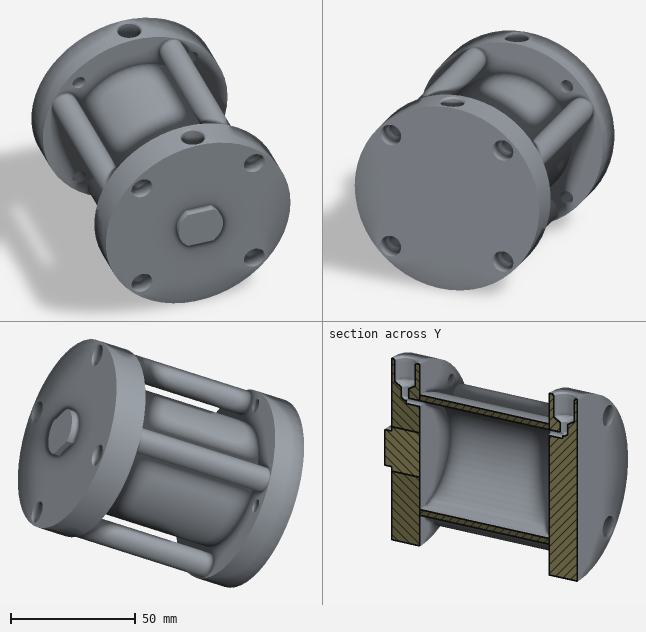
import cadquery as cq
import math

overall_length = 90.7
stub_length = 3.3
plate_thickness = 13.5
plate_radius = 39.6

cap_face = -overall_length / 2
head_face = overall_length / 2 - stub_length
barrel_start = cap_face + plate_thickness
barrel_end = head_face - plate_thickness
barrel_length = barrel_end - barrel_start

barrel_radius = 26.3
bore_radius = 23.6

rod_radius = 9.5
rod_across_flats = 15.7

bolt_circle_radius = 34.1
tie_rod_count = 4
tie_rod_radius = 5.1
tie_rod_start_angle = math.degrees(math.atan2(2, 1))
mount_hole_count = 4
mount_hole_start_angle = 45.0
mount_hole_radius = 2.7
counterbore_radius = 4.4
counterbore_depth = 5.0

port_position = 6.35
port_radius = 4.7
port_mouth_radius = 5.5
port_depth = 10.0
pilot_radius = 1.6
pilot_depth = 16.3
drill_tip_angle = 118.0
passage_radius = 1.2
passage_offset = 0.7


def circle_points(count, start_angle):
    """Y, Z positions spread evenly round the bolt circle, the angle in degrees from +Y toward +Z."""
    angles = [math.radians(start_angle + i * 360 / count) for i in range(count)]
    return [(bolt_circle_radius * math.cos(a), bolt_circle_radius * math.sin(a)) for a in angles]


def along_x(start):
    """Sketch plane across the axis at X = start, extruding toward +X."""
    return cq.Workplane("YZ", origin=(start, 0, 0))


def port_cutter():
    """Chamfered port, its pilot hole and both drill points, turned about the Z axis."""
    tip_slope = 1 / math.tan(math.radians(drill_tip_angle / 2))
    chamfer_depth = port_mouth_radius - port_radius
    port_floor = plate_radius - port_depth
    pilot_floor = plate_radius - pilot_depth
    return (
        cq.Workplane("XZ")
        .moveTo(0, plate_radius)
        .lineTo(port_mouth_radius, plate_radius)
        .lineTo(port_radius, plate_radius - chamfer_depth)
        .lineTo(port_radius, port_floor)
        .lineTo(pilot_radius, port_floor - (port_radius - pilot_radius) * tip_slope)
        .lineTo(pilot_radius, pilot_floor)
        .lineTo(0, pilot_floor - pilot_radius * tip_slope)
        .close()
        .revolve(360, (0, 0, 0), (0, 1, 0))
    )


def end_plate():
    """End plate with its outer face at X = 0 and its inner face toward +X."""
    holes = circle_points(mount_hole_count, mount_hole_start_angle)
    plate = along_x(0).circle(plate_radius).extrude(plate_thickness)
    plate = plate.cut(along_x(0).pushPoints(holes).circle(mount_hole_radius).extrude(plate_thickness))
    plate = plate.cut(along_x(0).pushPoints(holes).circle(counterbore_radius).extrude(counterbore_depth))

    plate = plate.cut(port_cutter().translate((port_position, 0, 0)))

    passage_start = port_position + passage_offset
    passage_height = bore_radius - passage_radius
    passage = (
        along_x(passage_start)
        .center(0, passage_height)
        .circle(passage_radius)
        .extrude(plate_thickness - passage_start)
    )
    return plate.cut(passage)


def make_cap_plate():
    return end_plate().translate((cap_face, 0, 0))


def make_head_plate():
    """Mirrored end plate with a hole for the piston rod."""
    plate = end_plate().mirror("YZ").translate((head_face, 0, 0))
    return plate.cut(make_piston_rod())


def make_barrel():
    return along_x(barrel_start).circle(barrel_radius).circle(bore_radius).extrude(barrel_length)


def make_piston_rod():
    """Rod through the head plate, with two wrench flats on the part that sticks out."""
    shank = along_x(barrel_end).circle(rod_radius).extrude(plate_thickness)
    stub = along_x(head_face).circle(rod_radius).extrude(stub_length)
    flats = along_x(head_face).rect(2 * rod_radius, rod_across_flats).extrude(stub_length)
    return shank.union(stub.intersect(flats))


def make_tie_rod(y, z):
    return along_x(barrel_start).center(y, z).circle(tie_rod_radius).extrude(barrel_length)


cap_plate = make_cap_plate()
head_plate = make_head_plate()
barrel = make_barrel()
piston_rod = make_piston_rod()
tie_rods = [
    make_tie_rod(y, z)
    for y, z in circle_points(tie_rod_count, tie_rod_start_angle)
]

result = cq.Compound.makeCompound([
    cap_plate.val(),
    head_plate.val(),
    barrel.val(),
    piston_rod.val(),
    *[tie_rod.val() for tie_rod in tie_rods],
])